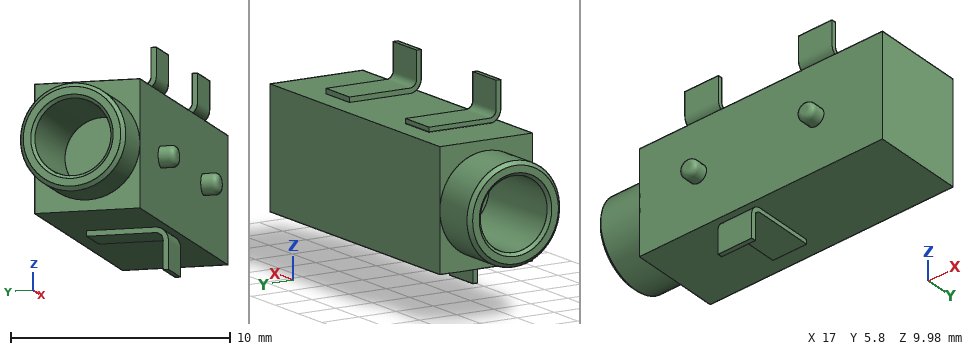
import cadquery as cq


total_length = 17.0
barrel_diameter = 5.0
bore_diameter = 3.6
barrel_length = 2.5
neck_diameter = 4.28
neck_length = 2.6
mouth_outer_chamfer = 0.19
mouth_inner_chamfer = 0.15

housing_depth = barrel_diameter
housing_height = 6.0
housing_length = total_length - barrel_length
front_y = -housing_depth / 2
top_z = housing_height / 2

peg_diameter = 1.0
peg_length = 0.8
peg_tip_radius = 0.25
peg_positions_x = (6.0, 13.0)

terminal_width = 2.0
terminal_thickness = 0.25
terminal_length = 3.88
bend_inner_radius = 0.37
bend_outer_radius = bend_inner_radius + terminal_thickness
foot_height = 1.99
near_terminal_sink = 0.03
near_terminal_x = 5.2
far_terminal_x = 11.98
lower_terminal_x = 7.19


def make_housing():
    """Block with a blind socket for the barrel neck; the socket floor ends the bore."""
    return (
        cq.Workplane("YZ", origin=(barrel_length, 0, 0))
        .rect(housing_depth, housing_height)
        .extrude(housing_length)
        .faces("<X")
        .workplane(centerOption="CenterOfBoundBox")
        .hole(neck_diameter, neck_length)
    )


def make_barrel():
    """Open sleeve, revolved about the X axis, with both rims of its mouth chamfered."""
    outer_radius = barrel_diameter / 2
    bore_radius = bore_diameter / 2
    neck_radius = neck_diameter / 2
    neck_end_x = barrel_length + neck_length
    return (
        cq.Workplane("XY")
        .moveTo(mouth_inner_chamfer, bore_radius)
        .lineTo(0, bore_radius + mouth_inner_chamfer)
        .lineTo(0, outer_radius - mouth_outer_chamfer)
        .lineTo(mouth_outer_chamfer, outer_radius)
        .lineTo(barrel_length, outer_radius)
        .lineTo(barrel_length, neck_radius)
        .lineTo(neck_end_x, neck_radius)
        .lineTo(neck_end_x, bore_radius)
        .close()
        .revolve(360, (0, 0, 0), (1, 0, 0))
    )


def make_peg(center_x):
    """Round peg on the front face with a rounded tip."""
    return (
        cq.Workplane("XZ", origin=(center_x, front_y, 0))
        .circle(peg_diameter / 2)
        .extrude(peg_length)
        .faces("<Y")
        .edges()
        .fillet(peg_tip_radius)
    )


def make_terminal(start_x, sink=0):
    """Bent strip on the top face, let into it by sink, its foot flush with the front face."""
    strip_bottom_z = top_z - sink
    strip_top_z = strip_bottom_z + terminal_thickness
    back_y = front_y + terminal_length
    foot_back_y = front_y + terminal_thickness
    bend_y = front_y + bend_outer_radius
    bend_z = strip_bottom_z + bend_outer_radius
    foot_z = strip_bottom_z + foot_height
    return (
        cq.Workplane("YZ", origin=(start_x, 0, 0))
        .moveTo(back_y, strip_bottom_z)
        .lineTo(bend_y, strip_bottom_z)
        .radiusArc((front_y, bend_z), bend_outer_radius)
        .lineTo(front_y, foot_z)
        .lineTo(foot_back_y, foot_z)
        .lineTo(foot_back_y, bend_z)
        .radiusArc((bend_y, strip_top_z), -bend_inner_radius)
        .lineTo(back_y, strip_top_z)
        .close()
        .extrude(terminal_width)
    )


barrel = make_barrel()
pegs = [make_peg(center_x) for center_x in peg_positions_x]

near_terminal = make_terminal(near_terminal_x, near_terminal_sink)
far_terminal = make_terminal(far_terminal_x)
lower_terminal = make_terminal(lower_terminal_x).mirror("XY")

housing = make_housing().cut(near_terminal)

result = cq.Compound.makeCompound([
    housing.val(),
    barrel.val(),
    *[peg.val() for peg in pegs],
    near_terminal.val(),
    far_terminal.val(),
    lower_terminal.val(),
])